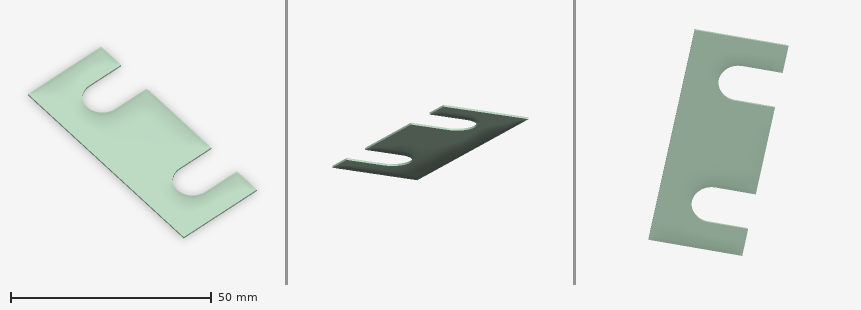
import cadquery as cq

length = 60.45
width = 23.9
thickness = 0.5

slot_width = 10.0
slot_spacing = 35.0
slot_depth = 15.3

slot_radius = slot_width / 2
back_edge = width / 2
arc_center_y = back_edge - slot_depth + slot_radius


def open_slot(center_x):
    """Cutter for one slot: a straight channel ending in a half circle."""
    return (
        cq.Workplane("XY")
        .moveTo(center_x - slot_radius, back_edge)
        .lineTo(center_x - slot_radius, arc_center_y)
        .threePointArc(
            (center_x, back_edge - slot_depth),
            (center_x + slot_radius, arc_center_y),
        )
        .lineTo(center_x + slot_radius, back_edge)
        .close()
        .extrude(thickness)
    )


result = cq.Workplane("XY").box(length, width, thickness, centered=(True, True, False))
for side in (-1, 1):
    result = result.cut(open_slot(side * slot_spacing / 2))